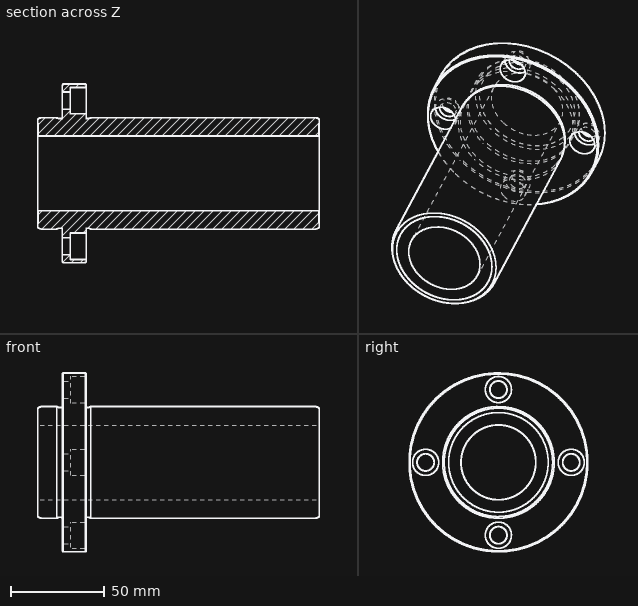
import cadquery as cq
import math

length = 151.0
sleeve_diameter = 60.0
bore_diameter = 40.0

bevel_length = 1.8
bevel_depth = 0.9
bevel_arc_radius = 5.0

flange_diameter = 96.0
flange_thickness = 13.0
flange_start = 13.1
flange_chamfer = 0.6

front_groove_width = 2.9
rear_groove_width = 2.3
groove_depth = 0.53
groove_arc_radius = 3.0

hole_count = 4
hole_circle_diameter = 78.0
hole_diameter = 9.0
counterbore_diameter = 14.0
counterbore_depth = 8.6

recess_diameter = 53.5
recess_depth = 0.2

sleeve_radius = sleeve_diameter / 2
flange_end = flange_start + flange_thickness


def cylinder(diameter, start, end):
    """Solid cylinder on the X axis between two X positions."""
    return cq.Workplane("YZ", origin=(start, 0, 0)).circle(diameter / 2).extrude(end - start)


def rounded_sleeve():
    """Solid sleeve body with arc-shaped bevels at both ends, as a revolved half section."""
    face_radius = sleeve_radius - bevel_depth
    return (
        cq.Workplane("XY")
        .lineTo(0, face_radius)
        .radiusArc((bevel_length, sleeve_radius), bevel_arc_radius)
        .lineTo(length - bevel_length, sleeve_radius)
        .radiusArc((length, face_radius), bevel_arc_radius)
        .lineTo(length, 0)
        .close()
        .revolve(360, (0, 0, 0), (1, 0, 0))
    )


def groove_ring(centre_x):
    """Torus that cuts a round-bottomed groove into the sleeve."""
    ring_radius = sleeve_radius - groove_depth + groove_arc_radius
    return (
        cq.Workplane("XY")
        .center(centre_x, ring_radius)
        .circle(groove_arc_radius)
        .revolve(360, (0, -ring_radius, 0), (1, -ring_radius, 0))
    )


def mounting_holes(diameter, start, end):
    """Cylinders on the hole circle, the first one on +Y."""
    return (
        cq.Workplane("YZ", origin=(start, 0, 0))
        .polarArray(hole_circle_diameter / 2, 0, 360, hole_count)
        .circle(diameter / 2)
        .extrude(end - start)
    )


groove_half_width = math.sqrt(groove_arc_radius**2 - (groove_arc_radius - groove_depth) ** 2)
front_groove_centre = flange_start - front_groove_width + groove_half_width
rear_groove_centre = flange_end + rear_groove_width - groove_half_width

flange = cylinder(flange_diameter, flange_start, flange_end).edges("%CIRCLE").chamfer(flange_chamfer)

result = (
    rounded_sleeve()
    .cut(groove_ring(front_groove_centre))
    .cut(groove_ring(rear_groove_centre))
    .union(flange)
    .cut(mounting_holes(hole_diameter, flange_start, flange_end))
    .cut(mounting_holes(counterbore_diameter, flange_end - counterbore_depth, flange_end))
    .cut(cylinder(recess_diameter, 0, recess_depth))
    .cut(cylinder(recess_diameter, length - recess_depth, length))
    .cut(cylinder(bore_diameter, 0, length))
)